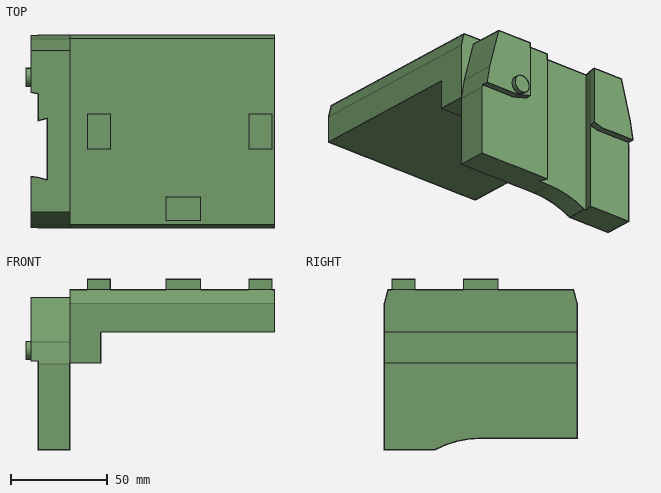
import cadquery as cq
import math

width = 100.0
total_length = 128.75

plate_front_x = 22.75
plate_bottom_z = 61.0
plate_top_z = 83.0
plate_edge_z = 75.75
bevel_angle = 15.0
step_length = 16.0
step_bottom_z = 45.0

leg_front_x = 6.25
leg_top_z = 79.0
leg_break_z = 56.0
leg_shoulder_z = 44.5
lower_draft_angle = 10.0
short_leg_z = 6.0
arch_radius = 50.0

pad_front_x = 2.5
pad_bottom_z = 46.0
pad_ramp_y = 28.75
pad_ramp_angle = 15.0
left_pad_edge_y = 20.25
left_pad_root_y = 19.5

slot_floor_x = 11.0
slot_left_y = 5.5
slot_right_y = -math.sqrt(arch_radius**2 - (arch_radius - short_leg_z) ** 2)
slot_mouth_y = -23.25
slot_flank_angle = 15.0

button_diameter = 9.5
button_y = 28.0
button_z = 51.5
block_long = 18.0
block_short = 12.0
block_height = 5.5
end_block_x = (37.75, 121.5)
side_block_x = 81.5
side_block_y = -40.0

half_width = width / 2


def run(height, angle):
    """Sideways travel of a face leaning by angle over the given height."""
    return height * math.tan(math.radians(angle))


def extrude_along_x(profile, start_x, end_x):
    """Extrude a closed YZ profile drawn at X = 0 between two X positions."""
    return profile.extrude(end_x - start_x).translate((start_x, 0, 0))


def make_plate():
    top_half_width = half_width - run(plate_top_z - plate_edge_z, bevel_angle)
    profile = cq.Workplane("YZ").polyline([
        (-half_width, step_bottom_z),
        (half_width, step_bottom_z),
        (half_width, plate_edge_z),
        (top_half_width, plate_top_z),
        (-top_half_width, plate_top_z),
        (-half_width, plate_edge_z),
    ]).close()
    body = extrude_along_x(profile, plate_front_x, total_length)
    step_end_x = plate_front_x + step_length
    relief = cq.Workplane("XY").box(
        total_length - step_end_x, width, plate_bottom_z - step_bottom_z, centered=(False, True, False)
    ).translate((step_end_x, 0, step_bottom_z))
    return body.cut(relief)


def make_leg_blank():
    """Leg outline carried forward as far as the pad faces."""
    break_y = half_width - run(leg_break_z - leg_shoulder_z, lower_draft_angle)
    top_y = break_y - run(leg_top_z - leg_break_z, bevel_angle)
    arch_center_z = short_leg_z - arch_radius
    arch_mid_y = slot_right_y / 2
    arch_mid_z = arch_center_z + math.sqrt(arch_radius**2 - arch_mid_y**2)
    profile = (
        cq.Workplane("YZ")
        .moveTo(half_width, leg_shoulder_z)
        .lineTo(half_width, short_leg_z)
        .lineTo(0, short_leg_z)
        .threePointArc((arch_mid_y, arch_mid_z), (slot_right_y, 0))
        .lineTo(-half_width, 0)
        .lineTo(-half_width, leg_shoulder_z)
        .lineTo(-break_y, leg_break_z)
        .lineTo(-top_y, leg_top_z)
        .lineTo(top_y, leg_top_z)
        .lineTo(break_y, leg_break_z)
        .close()
    )
    return extrude_along_x(profile, pad_front_x, plate_front_x)


def make_front_relief():
    """Material removed ahead of the leg face below the pads."""
    ramp_top_z = pad_bottom_z + run(pad_ramp_y, pad_ramp_angle)
    profile = cq.Workplane("YZ").polyline([
        (half_width, 0),
        (half_width, pad_bottom_z),
        (pad_ramp_y, pad_bottom_z),
        (0, ramp_top_z),
        (-pad_ramp_y, pad_bottom_z),
        (-half_width, pad_bottom_z),
        (-half_width, 0),
    ]).close()
    return extrude_along_x(profile, 0, leg_front_x)


def make_slot():
    """Full-height dovetail slot together with the gap between the two pads."""
    flank = run(slot_floor_x - leg_front_x, slot_flank_angle)
    profile = cq.Workplane("XY").polyline([
        (pad_front_x, left_pad_edge_y),
        (leg_front_x, left_pad_root_y),
        (leg_front_x, slot_left_y),
        (slot_floor_x, slot_left_y + flank),
        (slot_floor_x, slot_right_y - flank),
        (leg_front_x, slot_right_y),
        (pad_front_x, slot_mouth_y),
    ]).close()
    return profile.extrude(leg_top_z)


def make_button():
    return (
        cq.Workplane("YZ")
        .center(button_y, button_z)
        .circle(button_diameter / 2)
        .extrude(leg_front_x)
    )


def make_block(x, y, length_x, length_y):
    """Rectangular locating block standing on the plate."""
    block = cq.Workplane("XY").box(length_x, length_y, block_height, centered=(True, True, False))
    return block.translate((x, y, plate_top_z))


leg = make_leg_blank().cut(make_front_relief()).cut(make_slot())
result = make_plate().union(leg).union(make_button())
for block_x in end_block_x:
    result = result.union(make_block(block_x, 0, block_short, block_long))
result = result.union(make_block(side_block_x, side_block_y, block_long, block_short))